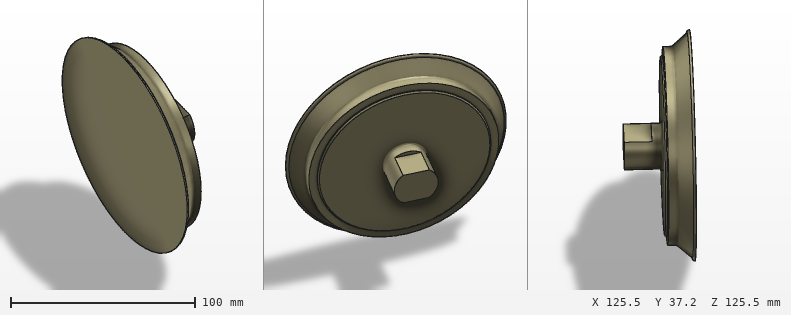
import cadquery as cq

rim_radius = 125.47 / 2
disc_radius = 108 / 2
step_radius = 98.7 / 2
stem_radius = 25 / 2

rim_height = 1.5
cone_top_height = 9.8
disc_height = 14.7
step_height = 16.2
total_height = 37.2

rim_ledge_width = 1.5
rim_edge_round = 1.2
cone_blend_radius = 1.6
step_edge_chamfer = 0.9
stem_root_round = 1.5

flat_length = 15.0
across_flats = 20.0


def cylinder(radius, start, end):
    """Cylinder along +Y between two heights."""
    solid = cq.Solid.makeCylinder(radius, end - start, cq.Vector(0, start, 0), cq.Vector(0, 1, 0))
    return cq.Workplane(obj=solid)


def edge_circle(body, radius, height):
    """Select the circular edge of the given radius at the given height."""
    margin = 0.01
    reach = radius + margin
    inner = radius - margin
    outer_box = cq.selectors.BoxSelector(
        (-reach, height - margin, -reach), (reach, height + margin, reach), boundingbox=True
    )
    inner_box = cq.selectors.BoxSelector(
        (-inner, height - margin, -inner), (inner, height + margin, inner), boundingbox=True
    )
    return body.edges(outer_box - inner_box)


def make_pad():
    """Rim, cone and disc turned from one half section."""
    cone_foot_radius = rim_radius - rim_ledge_width
    body = (
        cq.Workplane("XY")
        .moveTo(0, 0)
        .lineTo(rim_radius, 0)
        .lineTo(rim_radius, rim_height)
        .lineTo(cone_foot_radius, rim_height)
        .lineTo(disc_radius, cone_top_height)
        .lineTo(disc_radius, disc_height)
        .lineTo(0, disc_height)
        .close()
        .revolve(360, (0, 0, 0), (0, 1, 0))
    )
    body = edge_circle(body, disc_radius, cone_top_height).fillet(cone_blend_radius)
    return edge_circle(body, rim_radius, rim_height).fillet(rim_edge_round)


def add_step(body):
    """Low raised step with a chamfered upper edge."""
    step = cylinder(step_radius, 0, step_height)
    step = edge_circle(step, step_radius, step_height).chamfer(step_edge_chamfer)
    return body.union(step)


def add_stem(body):
    """Central stem blended into the step."""
    body = body.union(cylinder(stem_radius, 0, total_height))
    return edge_circle(body, stem_radius, step_height).fillet(stem_root_round)


def cut_flats(body):
    """Two opposite flats facing +Z and -Z."""
    flat_depth = stem_radius - across_flats / 2
    flat_middle = total_height - flat_length / 2
    for side in (-1, 1):
        cutter = cq.Workplane("XY").box(2 * stem_radius, flat_length, flat_depth)
        offset = side * (across_flats + flat_depth) / 2
        body = body.cut(cutter.translate((0, flat_middle, offset)))
    return body


result = cut_flats(add_stem(add_step(make_pad())))